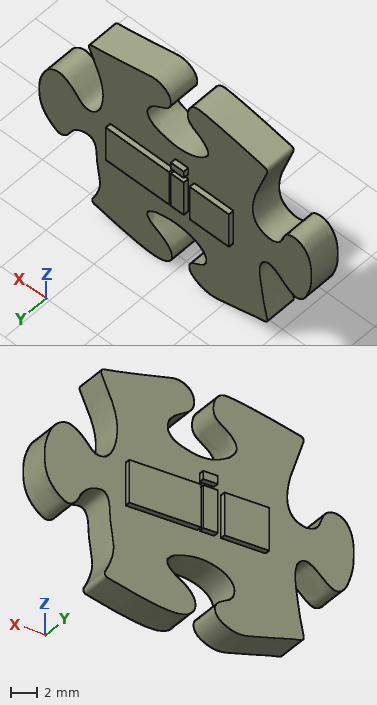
import cadquery as cq

plate_thickness = 2.98
pad_height = 0.5
corner_radius = 0.35

top_left = (-9.67, 9.1)
top_right = (9.15, 9.08)
bottom_right = (8.85, -9.28)
bottom_left = (-9.7, -8.96)

top_side = [
    (-6.92, 9.73), (-4.37, 10.25), (-2.8, 10.47), (-2.05, 10.4), (-1.53, 9.93), (-1.3, 9.08),
    (-1.4, 8.45), (-2.13, 7.7), (-3.05, 6.92), (-3.43, 6.01), (-2.8, 5.13), (-1.87, 4.6),
    (-0.23, 4.28), (1.45, 4.6), (2.47, 5.1), (2.9, 5.9), (2.5, 6.9), (1.35, 7.7),
    (0.68, 8.2), (0.45, 8.88), (0.68, 9.73), (1.2, 10.2), (2.0, 10.47), (3.32, 10.25),
    (5.65, 9.73),
]
right_side = [
    (8.28, 7.18), (7.7, 5.53), (7.52, 4.1), (7.7, 2.8), (8.1, 1.85), (8.8, 1.3),
    (9.48, 1.33), (10.25, 2.05), (11.12, 2.85), (12.05, 3.23), (13.08, 2.8), (13.75, 1.8),
    (14.1, 0.7), (14.18, -0.43), (14.01, -1.8), (13.5, -2.8), (12.65, -3.63), (12.0, -3.92),
    (11.45, -3.7), (10.7, -2.55), (10.15, -2.05), (9.35, -1.73), (8.7, -1.8), (8.4, -2.18),
    (8.2, -3.57), (7.97, -5.4), (7.85, -6.67), (8.2, -8.0),
]
bottom_side = [
    (6.07, -9.93), (4.25, -10.27), (2.27, -10.45), (1.2, -10.25), (0.5, -9.73), (0.35, -8.96),
    (0.68, -8.2), (1.53, -7.43), (2.65, -6.65), (2.92, -6.05), (2.65, -5.6), (1.53, -5.08),
    (0.15, -4.85), (-1.28, -5.0), (-2.65, -5.62), (-3.23, -6.58), (-2.98, -7.4), (-2.2, -7.92),
    (-1.48, -8.6), (-1.55, -9.3), (-2.3, -10.0), (-3.7, -10.38), (-4.7, -10.25), (-7.52, -9.48),
]
left_side = [
    (-9.3, -7.3), (-9.05, -5.53), (-8.8, -3.6), (-8.96, -2.5), (-9.3, -2.01), (-9.8, -1.85),
    (-10.3, -2.01), (-11.3, -2.8), (-12.03, -3.38), (-12.6, -3.57), (-13.15, -3.32), (-13.75, -2.3),
    (-14.1, -1.08), (-14.18, 0.0), (-14.1, 1.5), (-13.73, 2.52), (-13.22, 3.1), (-12.45, 3.35),
    (-11.63, 3.05), (-11.2, 2.3), (-10.9, 1.65), (-10.33, 1.25), (-9.42, 1.25), (-8.57, 1.75),
    (-8.15, 2.7), (-8.1, 3.85), (-8.35, 5.1), (-9.08, 7.25),
]

pad_bottom = -2.38
pad_top = 1.45
back_pads = [
    (-6.07, -2.0, pad_bottom, pad_top),
    (-1.35, -0.03, pad_bottom, pad_top),
    (-1.35, -0.03, 2.0, 2.72),
    (0.17, 6.75, pad_bottom, pad_top),
]


def make_plate():
    """Extrude the four-sided jigsaw outline towards +Y and round its body corners."""
    outline = cq.Workplane("XZ").moveTo(*top_left)
    sides = [
        (top_side, top_right),
        (right_side, bottom_right),
        (bottom_side, bottom_left),
        (left_side, top_left),
    ]
    for side_points, end_corner in sides:
        outline = outline.spline(side_points + [end_corner], includeCurrent=True)
    return outline.close().extrude(-plate_thickness).edges("|Y").fillet(corner_radius)


def make_pad(x_from, x_to, z_from, z_to):
    """Rectangular pad standing on the back face."""
    corner = (x_from, plate_thickness, z_from)
    return cq.Workplane("XY").box(x_to - x_from, pad_height, z_to - z_from, centered=False).translate(corner)


result = make_plate()
for pad in back_pads:
    result = result.union(make_pad(*pad))